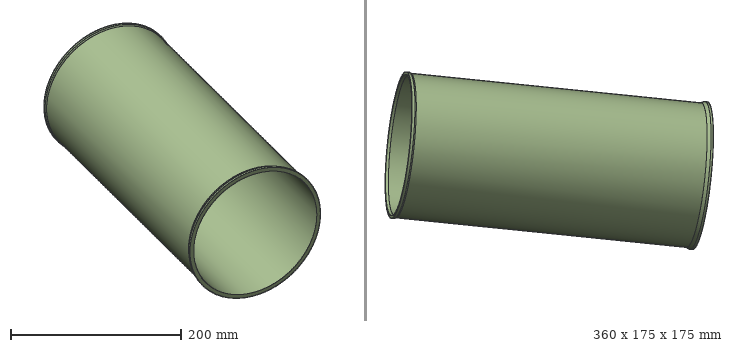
import cadquery as cq

length = 360.0
bore_diameter = 165.0
tube_diameter = 171.0
front_collar_diameter = 173.0
rear_collar_diameter = 175.0
front_collar_width = 3.2
front_taper_width = 1.8
rear_collar_width = 3.0
rear_taper_width = 4.5
bore_chamfer_depth = 1.0
bore_chamfer_length = 3.2

bore_radius = bore_diameter / 2
tube_radius = tube_diameter / 2
front_collar_radius = front_collar_diameter / 2
rear_collar_radius = rear_collar_diameter / 2

front_taper_end = front_collar_width + front_taper_width
rear_taper_start = length - rear_collar_width - rear_taper_width

wall_section = (
    cq.Workplane("XY")
    .moveTo(0, bore_radius + bore_chamfer_depth)
    .lineTo(0, front_collar_radius)
    .lineTo(front_collar_width, front_collar_radius)
    .lineTo(front_taper_end, tube_radius)
    .lineTo(rear_taper_start, tube_radius)
    .lineTo(length - rear_collar_width, rear_collar_radius)
    .lineTo(length, rear_collar_radius)
    .lineTo(length, bore_radius)
    .lineTo(bore_chamfer_length, bore_radius)
    .close()
)

tube = wall_section.revolve(360, (0, 0, 0), (1, 0, 0))

result = tube.translate((-length / 2, 0, 0))